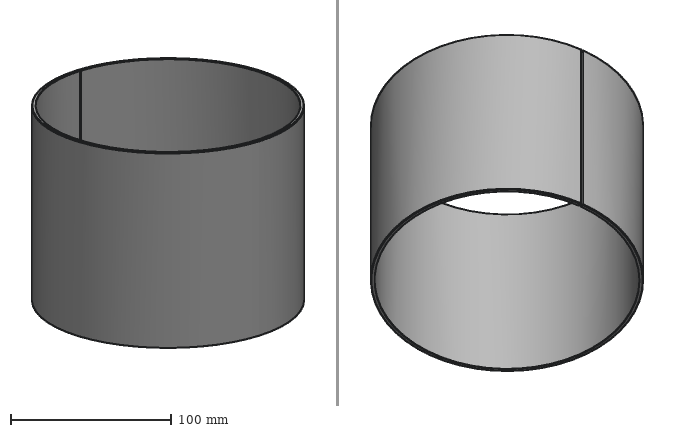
import cadquery as cq

outer_diameter = 170.0
wall = 2.5
height = 130.0
outer_bevel = 0.5
inner_bevel = 0.25
slit_width = 1.4

outer_radius = outer_diameter / 2
bore_diameter = outer_diameter - 2 * wall
slit_depth = 2 * wall

sleeve = (
    cq.Workplane("XY")
    .circle(outer_radius)
    .extrude(height)
    .faces("<Z or >Z")
    .chamfer(outer_bevel)
    .faces(">Z")
    .workplane()
    .hole(bore_diameter)
    .faces("<Z or >Z")
    .edges(cq.selectors.RadiusNthSelector(0))
    .chamfer(inner_bevel)
)

slit = (
    cq.Workplane("XY")
    .box(slit_depth, slit_width, height, centered=False)
    .translate((-outer_radius, 0, 0))
)

result = sleeve.cut(slit)